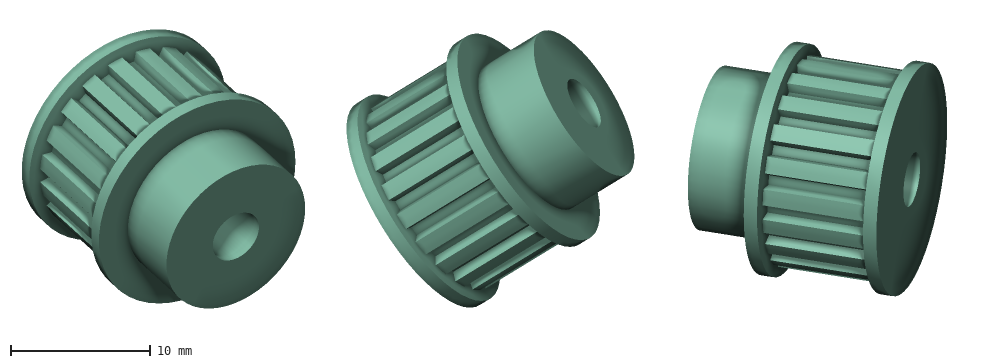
import cadquery as cq
import math


flange_thickness = 1.0
rim_gap = 7.99
hub_length = 5.0
second_flange_start = flange_thickness + rim_gap
hub_start = second_flange_start + flange_thickness
total_length = hub_start + hub_length

flange_diameter = 17.0
tip_diameter = 15.4
hub_diameter = 12.0
bore_diameter = 4.0

tooth_count = 20
groove_depth = 0.7
groove_mouth_width = 1.19
groove_floor_width = 0.71

flange_face_angle = 11.5

flange_radius = flange_diameter / 2
tip_radius = tip_diameter / 2
root_radius = tip_radius - groove_depth


def rim_point(radius, angle):
    """Point of the tooth outline at a radius and an angle (radians) from +Y."""
    return (radius * math.cos(angle), radius * math.sin(angle))


def toothed_rim():
    """Toothed bar running from the start of the first flange to the hub."""
    pitch = 2 * math.pi / tooth_count
    half_mouth = math.asin(groove_mouth_width / 2 / tip_radius)
    half_floor = math.asin(groove_floor_width / 2 / root_radius)

    outline = cq.Workplane("YZ").moveTo(*rim_point(tip_radius, -half_mouth))
    for tooth in range(tooth_count):
        groove = tooth * pitch
        next_groove = groove + pitch
        outline = (
            outline
            .lineTo(*rim_point(root_radius, groove - half_floor))
            .threePointArc(
                rim_point(root_radius, groove),
                rim_point(root_radius, groove + half_floor),
            )
            .lineTo(*rim_point(tip_radius, groove + half_mouth))
            .threePointArc(
                rim_point(tip_radius, groove + pitch / 2),
                rim_point(tip_radius, next_groove - half_mouth),
            )
        )
    return outline.close().extrude(hub_start)


def flange(outer_face, inner_edge):
    """Disc whose inner face leans towards the teeth as it nears the axis."""
    inward = math.copysign(1, inner_edge - outer_face)
    rise = (flange_radius - root_radius) * math.tan(math.radians(flange_face_angle))
    cone_base = inner_edge + inward * rise
    profile = [
        (outer_face, 0),
        (outer_face, flange_radius),
        (inner_edge, flange_radius),
        (cone_base, root_radius),
        (cone_base, 0),
    ]
    return cq.Workplane("XY").polyline(profile).close().revolve(360, (0, 0, 0), (1, 0, 0))


def cylinder(diameter, start, length):
    """Round bar along X."""
    return cq.Workplane("YZ", origin=(start, 0, 0)).circle(diameter / 2).extrude(length)


result = (
    toothed_rim()
    .union(flange(0, flange_thickness))
    .union(flange(hub_start, second_flange_start))
    .union(cylinder(hub_diameter, hub_start, hub_length))
    .cut(cylinder(bore_diameter, 0, total_length))
)